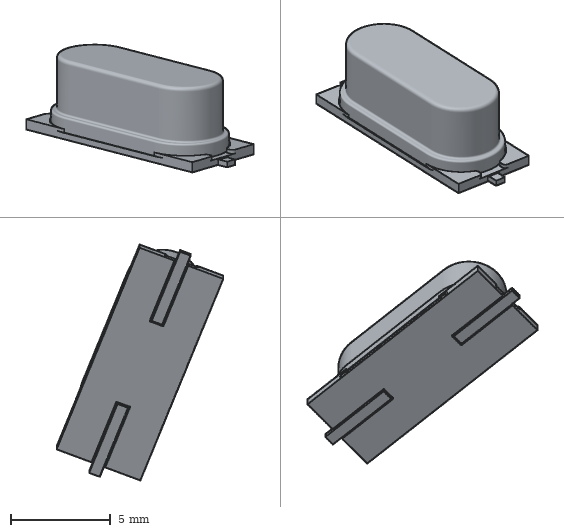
import cadquery as cq

overall_length = 12.5
overall_height = 4.01

base_length = 11.4
base_width = 4.5
base_bottom = 0.04
base_top = 0.58

end_centre_spacing = 6.2
can_width = 3.8
can_top_radius = 0.2
flange_width = 4.4
flange_top = 1.16
flange_edge_radius = 0.1
can_root_radius = 0.1

seat_floor = 0.38
seat_clearance = 0.05
channel_width = 1.4
channel_corner_radius = 0.2

lead_length = 3.9
lead_width = 0.58
lead_thickness = 0.3
lead_gap = 0.08

selection_margin = 0.01


def stadium(width, bottom, top):
    """Upright block with straight sides and semicircular ends."""
    outline = cq.Workplane("XY").workplane(offset=bottom).slot2D(end_centre_spacing + width, width)
    return outline.extrude(top - bottom)


def block(length, width, bottom, top):
    """Rectangular block centred on the Z axis."""
    return cq.Workplane("XY").workplane(offset=bottom).rect(length, width).extrude(top - bottom)


def box_around_origin(length, width, bottom, top):
    """Selector for edges in a slightly enlarged box centred on the Z axis."""
    half_length = length / 2 + selection_margin
    half_width = width / 2 + selection_margin
    return cq.selectors.BoxSelector(
        (-half_length, -half_width, bottom - selection_margin),
        (half_length, half_width, top + selection_margin),
        boundingbox=True,
    )


def make_base():
    """Base plate with the flange seat and the rounded end channels."""
    seat = stadium(flange_width + seat_clearance * 2, seat_floor, base_top)
    channel = block(base_length, channel_width, seat_floor, base_top)
    plate = block(base_length, base_width, base_bottom, base_top).cut(seat).cut(channel)

    channel_region = box_around_origin(base_length, channel_width, seat_floor, base_top)
    return plate.edges("|Z").edges(channel_region).fillet(channel_corner_radius)


def make_can():
    """Flange and can with rounded edges."""
    flange = stadium(flange_width, seat_floor, flange_top).faces(">Z").edges().fillet(flange_edge_radius)
    shell = flange.union(stadium(can_width, seat_floor, overall_height))
    can_length = end_centre_spacing + can_width
    root_region = box_around_origin(can_length, can_width, flange_top, flange_top)
    shell = shell.edges(root_region).fillet(can_root_radius)
    return shell.faces(">Z").edges().fillet(can_top_radius)


def end_strip(length, width, side):
    """Strip as thick as a lead, reaching in from one end of the part."""
    centre_x = side * (overall_length - length) / 2
    return block(length, width, 0, lead_thickness).translate((centre_x, 0, 0))


base = make_base()
for side in (-1, 1):
    base = base.cut(end_strip(lead_length + lead_gap, lead_width + lead_gap * 2, side))
    base = base.union(end_strip(lead_length, lead_width, side))

result = base.union(make_can())